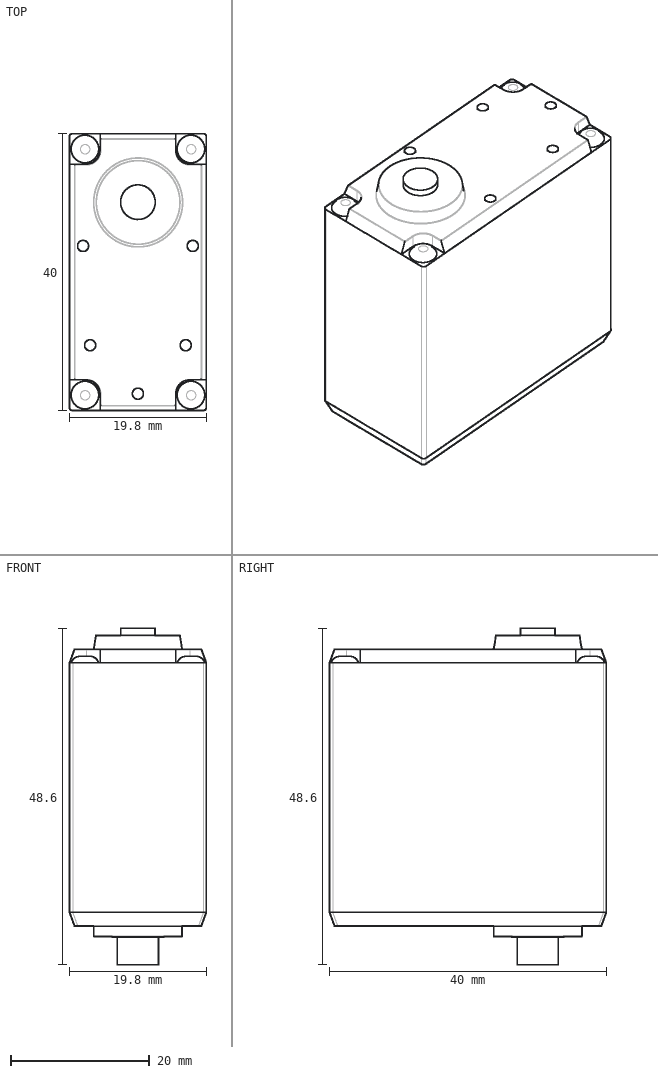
import cadquery as cq
import math

CASE_WIDTH = 19.8
CASE_LENGTH = 40.0
CASE_HEIGHT = 36.0
CORNER_RADIUS = 0.5

COVER_HEIGHT = 2.0
COVER_INSET = 0.75
EDGE_RADIUS = 0.1

AXIS_Y = CASE_LENGTH / 2 - 9.9
BOSS_DIAMETER = 12.8
TOP_BOSS_HEIGHT = 2.0
TOP_BOSS_TIP_DIAMETER = 12.15
BOTTOM_BOSS_HEIGHT = 1.5
END_PIN_DIAMETER = 5.0
END_PIN_HEIGHT = 1.0

FLANGE_DIAMETER = 7.5
FLANGE_HEIGHT = 0.1
SHAFT_DIAMETER = 6.0
TOTAL_HEIGHT = 48.6

CORNERS = [(-1, -1), (-1, 1), (1, -1), (1, 1)]

SCREW_EDGE_DISTANCE = 2.25
SCREW_X = CASE_WIDTH / 2 - SCREW_EDGE_DISTANCE
SCREW_Y = CASE_LENGTH / 2 - SCREW_EDGE_DISTANCE
HEAD_DIAMETER = 4.0
HEAD_FLAT_DIAMETER = 1.35
HEAD_HEIGHT = 0.95
POCKET_SIZE = 4.4
POCKET_RADIUS = 2.0

HOLE_DIAMETER = 1.6
FRONT_HOLE_Y = 2.45 - CASE_LENGTH / 2
LOWER_PAIR_X = 6.9
LOWER_PAIR_Y = CASE_LENGTH / 2 - 30.55
UPPER_PAIR_X = 7.9
UPPER_PAIR_Y = CASE_LENGTH / 2 - 16.25
HOLE_POSITIONS = [
    (0, FRONT_HOLE_Y),
    (-LOWER_PAIR_X, LOWER_PAIR_Y),
    (LOWER_PAIR_X, LOWER_PAIR_Y),
    (-UPPER_PAIR_X, UPPER_PAIR_Y),
    (UPPER_PAIR_X, UPPER_PAIR_Y),
]

CASE_TOP = CASE_HEIGHT
COVER_TOP = CASE_TOP + COVER_HEIGHT
BOSS_TOP = COVER_TOP + TOP_BOSS_HEIGHT
PIN_TOP = BOSS_TOP + END_PIN_HEIGHT
COVER_BOTTOM = -COVER_HEIGHT
BOSS_BOTTOM = COVER_BOTTOM - BOTTOM_BOSS_HEIGHT
FLANGE_BOTTOM = BOSS_BOTTOM - FLANGE_HEIGHT
SHAFT_BOTTOM = PIN_TOP - TOTAL_HEIGHT


def cylinder(diameter, bottom, top, x=0, y=AXIS_Y):
    """Upright cylinder, on the output axis unless placed elsewhere."""
    return (
        cq.Workplane("XY", origin=(x, y, bottom))
        .circle(diameter / 2)
        .extrude(top - bottom)
    )


def sloped_cover(seam_level, direction):
    """Block that narrows away from the seam; direction is 1 for upward and -1 for downward."""
    block = (
        cq.Workplane("XY", origin=(0, 0, seam_level))
        .rect(CASE_WIDTH, CASE_LENGTH)
        .workplane(offset=direction * COVER_HEIGHT)
        .rect(CASE_WIDTH - 2 * COVER_INSET, CASE_LENGTH - 2 * COVER_INSET)
        .loft(ruled=True)
    )
    sloped_edges = block.edges("not #Z")
    return sloped_edges.fillet(CORNER_RADIUS)


def screw_pocket(side_x, side_y):
    """Square cut-out open to the two outer sides of one corner, with its inner edge rounded."""
    center_x = side_x * (CASE_WIDTH - POCKET_SIZE) / 2
    center_y = side_y * (CASE_LENGTH - POCKET_SIZE) / 2
    inner_x = "<X" if side_x > 0 else ">X"
    inner_y = "<Y" if side_y > 0 else ">Y"
    return (
        cq.Workplane("XY", origin=(center_x, center_y, CASE_TOP))
        .rect(POCKET_SIZE, POCKET_SIZE)
        .extrude(COVER_HEIGHT)
        .edges(f"|Z and {inner_x} and {inner_y}")
        .fillet(POCKET_RADIUS)
    )


def screw_head(x, y):
    """Domed head: its rounded side runs from the rim up to a tangent flat top."""
    rim = HEAD_DIAMETER / 2
    flat = HEAD_FLAT_DIAMETER / 2
    dome_radius = ((rim - flat) ** 2 + HEAD_HEIGHT**2) / (2 * HEAD_HEIGHT)
    rim_angle = math.asin((rim - flat) / dome_radius)
    middle_x = flat + dome_radius * math.sin(rim_angle / 2)
    middle_z = HEAD_HEIGHT - dome_radius * (1 - math.cos(rim_angle / 2))
    return (
        cq.Workplane("XZ", origin=(x, y, CASE_TOP))
        .lineTo(rim, 0)
        .threePointArc((middle_x, middle_z), (flat, HEAD_HEIGHT))
        .lineTo(0, HEAD_HEIGHT)
        .close()
        .revolve(360, (0, 0, 0), (0, 1, 0))
    )


def make_middle_case():
    """Straight-sided case with the four screw heads on its top face."""
    case = (
        cq.Workplane("XY")
        .rect(CASE_WIDTH, CASE_LENGTH)
        .extrude(CASE_HEIGHT)
        .edges("|Z")
        .fillet(CORNER_RADIUS)
    )
    for side_x, side_y in CORNERS:
        case = case.union(screw_head(side_x * SCREW_X, side_y * SCREW_Y))
    return case


def make_top_cover():
    """Cover with the screw pockets, the conical boss, the end pin and the mounting holes."""
    cover = sloped_cover(CASE_TOP, 1)
    for side_x, side_y in CORNERS:
        cover = cover.cut(screw_pocket(side_x, side_y))
    cover = cover.faces(">Z").edges().fillet(EDGE_RADIUS)
    boss = (
        cq.Workplane("XY", origin=(0, AXIS_Y, COVER_TOP))
        .circle(BOSS_DIAMETER / 2)
        .workplane(offset=TOP_BOSS_HEIGHT)
        .circle(TOP_BOSS_TIP_DIAMETER / 2)
        .loft()
        .faces(">Z")
        .edges()
        .fillet(EDGE_RADIUS)
    )
    cover = cover.union(boss)
    boss_foot = cover.edges(cq.selectors.RadiusNthSelector(-1))
    cover = boss_foot.fillet(EDGE_RADIUS)
    cover = cover.union(cylinder(END_PIN_DIAMETER, BOSS_TOP, PIN_TOP))
    for x, y in HOLE_POSITIONS:
        cover = cover.cut(cylinder(HOLE_DIAMETER, CASE_TOP, COVER_TOP, x, y))
    return cover


def make_bottom_cover():
    """Cover with a round boss around the output axis."""
    boss = cylinder(BOSS_DIAMETER, BOSS_BOTTOM, COVER_BOTTOM)
    rounded_boss = boss.faces("<Z").edges().fillet(EDGE_RADIUS)
    return sloped_cover(0, -1).union(rounded_boss)


def make_output_shaft():
    """Shaft with a thin flange that rests on the bottom boss."""
    flange = cylinder(FLANGE_DIAMETER, FLANGE_BOTTOM, BOSS_BOTTOM)
    return flange.union(cylinder(SHAFT_DIAMETER, SHAFT_BOTTOM, FLANGE_BOTTOM))


middle_case = make_middle_case()
top_cover = make_top_cover()
bottom_cover = make_bottom_cover()
output_shaft = make_output_shaft()

result = cq.Compound.makeCompound(
    [middle_case.val(), top_cover.val(), bottom_cover.val(), output_shaft.val()]
)